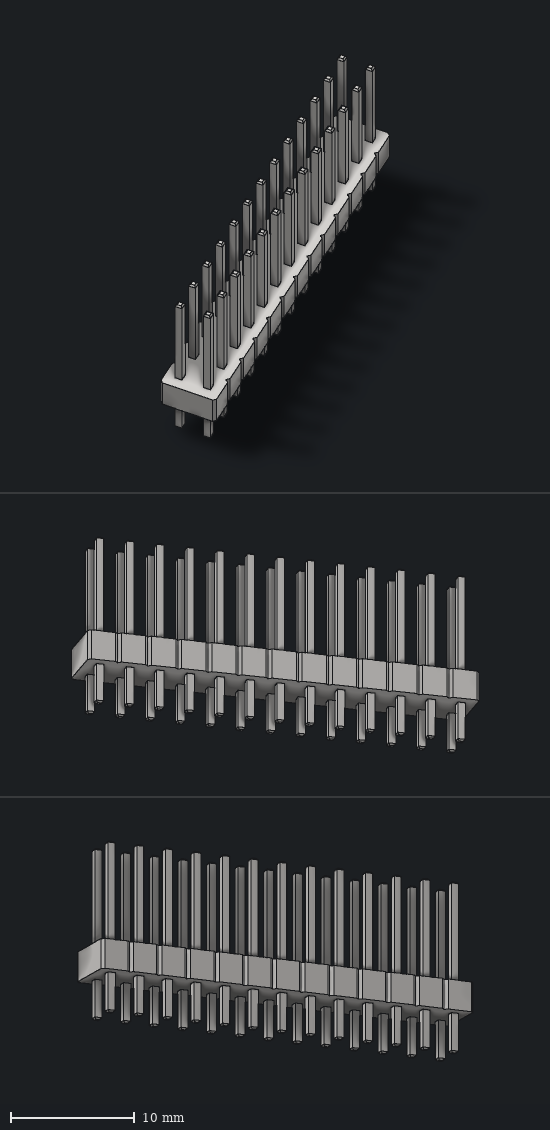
import cadquery as cq

header_length = 33.02
header_width = 5.0
rows = 13
row_pitch = header_length / rows
columns = 2
column_pitch = row_pitch

body_height = 2.5
corner_chamfer = 0.248

pin_side = row_pitch / 4
pin_above_body = 8.5
pin_below_body = 3.3
tip_chamfer = 0.15


def make_row_block():
    """One row of the body; adjoining chamfers form the V notches between rows."""
    return (
        cq.Workplane("XY")
        .box(header_width, row_pitch, body_height, centered=(True, True, False))
        .edges("|Z")
        .chamfer(corner_chamfer)
    )


def make_pin():
    """A square pin with all four sides bevelled at both tips."""
    pin_length = pin_below_body + body_height + pin_above_body
    return (
        cq.Workplane("XY")
        .workplane(offset=-pin_below_body)
        .rect(pin_side, pin_side)
        .extrude(pin_length)
        .faces("<Z or >Z")
        .edges()
        .chamfer(tip_chamfer)
    )


def make_body():
    """The row blocks joined end to end."""
    row_block = make_row_block().val()
    row_centers = cq.Workplane("XY").rarray(0.33, row_pitch, 1, rows)
    return row_centers.eachpoint(lambda place: row_block.moved(place), combine=True).clean()


def make_pins():
    """All the pins on their grid."""
    pin = make_pin().val()
    pin_centers = cq.Workplane("XY").rarray(column_pitch, row_pitch, columns, rows)
    return pin_centers.eachpoint(lambda place: pin.moved(place))


result = make_body().union(make_pins())